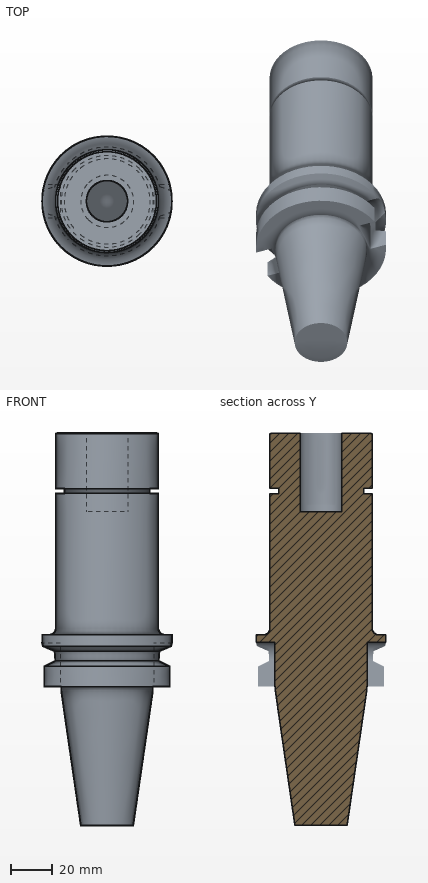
import cadquery as cq

total_height = 190.4
taper_top = 65.3
flange_bottom = 67.4
lower_rim_top = 77.1
groove_bottom = 79.8
groove_top = 84.5
upper_rim_bottom = 87.0
flange_top = 92.5
nut_gap_bottom = 161.0
nut_gap_top = 163.4

taper_small_radius = 12.8
taper_large_radius = 22.3
flange_radius = 31.51
groove_radius = 26.5
body_radius = 25.0
nut_gap_radius = 20.8
bore_radius = 10.0

body_fillet = 3.0
nut_chamfer_width = 1.0
nut_chamfer_height = 0.5
bore_depth = 38.0
slot_width = 16.2
slot_height = 21.3
slot_floor = 22.7


def turned_body():
    """Revolve the half profile of taper, grooved flange, body and nut about Z."""
    fillet_radius_end = body_radius + body_fillet
    fillet_top = flange_top + body_fillet
    profile = (
        cq.Workplane("XZ")
        .lineTo(taper_small_radius, 0)
        .lineTo(taper_large_radius, taper_top)
        .lineTo(taper_large_radius, flange_bottom)
        .lineTo(flange_radius, flange_bottom)
        .lineTo(flange_radius, lower_rim_top)
        .lineTo(groove_radius, groove_bottom)
        .lineTo(groove_radius, groove_top)
        .lineTo(flange_radius, upper_rim_bottom)
        .lineTo(flange_radius, flange_top)
        .lineTo(fillet_radius_end, flange_top)
        .radiusArc((body_radius, fillet_top), body_fillet)
        .lineTo(body_radius, nut_gap_bottom)
        .lineTo(nut_gap_radius, nut_gap_bottom)
        .lineTo(nut_gap_radius, nut_gap_top)
        .lineTo(body_radius, nut_gap_top)
        .lineTo(body_radius, total_height - nut_chamfer_height)
        .lineTo(body_radius - nut_chamfer_width, total_height)
        .lineTo(0, total_height)
        .close()
    )
    return profile.revolve(360, (0, 0, 0), (0, 1, 0))


def drive_slot():
    """Round-topped cutter for the drive slot on the +X side of the flange."""
    half_width = slot_width / 2
    slot_top = flange_bottom + slot_height
    arch_start = slot_top - half_width
    return (
        cq.Workplane("YZ", origin=(slot_floor, 0, 0))
        .moveTo(-half_width, flange_bottom)
        .lineTo(half_width, flange_bottom)
        .lineTo(half_width, arch_start)
        .threePointArc((0, slot_top), (-half_width, arch_start))
        .close()
        .extrude(flange_radius)
    )


def collet_bore():
    """Blind bore entering from the nut face."""
    floor_height = total_height - bore_depth
    return cq.Workplane("XY", origin=(0, 0, floor_height)).circle(bore_radius).extrude(bore_depth)


result = turned_body().cut(collet_bore())
for angle in (0, 180):
    result = result.cut(drive_slot().rotate((0, 0, 0), (0, 0, 1), angle))